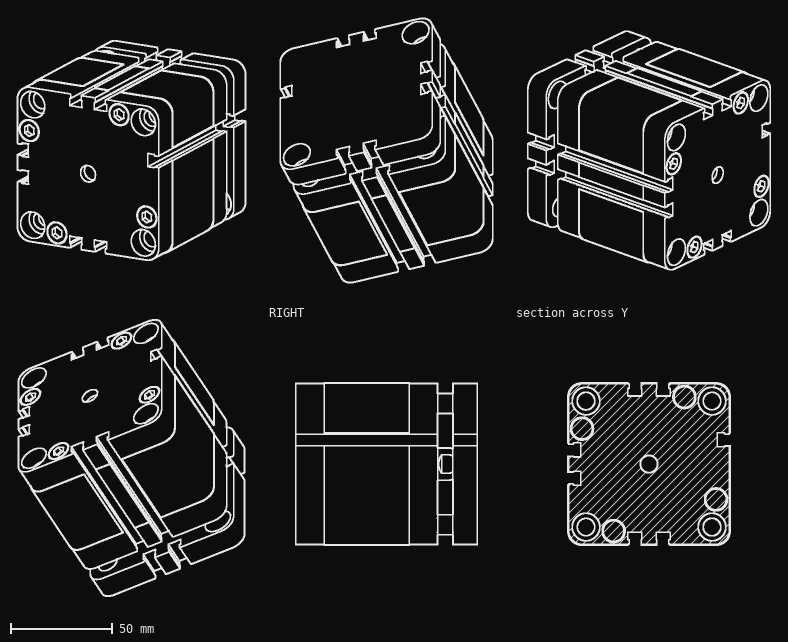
import cadquery as cq
import math

overall_length = 89.5
body_side = 80.0
cap_side = 79.5
corner_radius = 7.0

cap_length = 14.0
barrel_length = 42.0
gap_length = 7.5
front_y = -overall_length / 2
barrel_y = front_y + cap_length
rear_cap_y = barrel_y + barrel_length
gap_y = rear_cap_y + cap_length
plate_y = gap_y + gap_length
plate_length = overall_length / 2 - plate_y

slot_offset = 6.8
single_slot_offset = 11.8
neck_half_width = 2.9
outer_step = 0.7
inner_step = 0.4
slot_depth = 6.35
neck_depth = 2.5
shoulder_drop = 0.45
lip_radius = 0.8

mount_offset = 31.1
mount_bore_diameter = 13.5
mount_bore_depth = 8.7
mount_hole_diameter = 8.6
plate_hole_diameter = 14.0

screw_near = 17.45
screw_far = 33.0
screw_recess_diameter = 11.1
screw_head_diameter = 10.5
head_gap_depth = 6.0
socket_corner_diameter = 6.0
socket_depth = 3.0
socket_turn = 30.0

rod_diameter = 16.0
rod_flat_width = 13.2
rod_flat_length = 5.5
rod_chamfer_length = 1.5
rod_chamfer_depth = 0.4
guide_offset = 29.9
guide_diameter = 10.0
centre_hole_diameter = 8.4
centre_hole_depth = 4.0


def plane_at(y):
    """Plane across the cylinder axis: local x is +X, local y is +Z, and its normal is -Y."""
    return cq.Workplane(cq.Plane(origin=(0, y, 0), xDir=(1, 0, 0), normal=(0, -1, 0)))


def square_block(side, y, length):
    block = plane_at(y).rect(side, side).extrude(-length)
    return block.edges("|Y").fillet(corner_radius)


def round_bar(x, z, diameter, y, length):
    return plane_at(y).center(x, z).circle(diameter / 2).extrude(-length)


def sensor_slot(centre, angle, mirrored=False):
    """Full-length groove in the +Z side, its rounded lip towards +X; mirrored, then turned about Y."""
    top = body_side / 2
    floor = top - slot_depth
    shoulder = top - neck_depth
    wall_out = neck_half_width + outer_step
    wall_in = -neck_half_width - inner_step
    lip_top = cap_side / 2
    mouth = neck_half_width + lip_radius
    lip_middle = lip_radius * (1 - math.sqrt(0.5))
    lip_middle_point = (centre + neck_half_width + lip_middle, lip_top - lip_middle)
    slot = (
        plane_at(front_y)
        .moveTo(centre - neck_half_width, top)
        .lineTo(centre - neck_half_width, shoulder)
        .lineTo(centre + wall_in, shoulder - shoulder_drop)
        .lineTo(centre + wall_in, floor)
        .lineTo(centre + wall_out, floor)
        .lineTo(centre + wall_out, shoulder - shoulder_drop)
        .lineTo(centre + neck_half_width, shoulder)
        .lineTo(centre + neck_half_width, lip_top - lip_radius)
        .threePointArc(lip_middle_point, (centre + mouth, lip_top))
        .lineTo(centre + mouth, top)
        .close()
        .extrude(-overall_length)
    )
    if mirrored:
        slot = slot.mirror("YZ")
    return slot.rotate((0, 0, 0), (0, 1, 0), angle)


def piston_rod():
    rod = round_bar(0, 0, rod_diameter, gap_y, gap_length)
    rod = rod.faces(">Y").edges().chamfer(rod_chamfer_length, rod_chamfer_depth)
    flat_x = rod_flat_width / 2
    run_out = rod_diameter / 2 - flat_x
    flat_start = plate_y - rod_flat_length
    for side in (-1, 1):
        outline = [
            (side * flat_x, plate_y),
            (side * flat_x, flat_start),
            (side * (flat_x + run_out), flat_start - run_out),
            (side * (flat_x + run_out), plate_y),
        ]
        flat = cq.Workplane("XY").polyline(outline).close().extrude(rod_diameter / 2, both=True)
        rod = rod.cut(flat)
    return rod


def cap_screw_recess(x, z):
    """Thin gap around a flush screw head, plus its hexagon socket."""
    recess = round_bar(x, z, screw_recess_diameter, front_y, head_gap_depth)
    head = round_bar(x, z, screw_head_diameter, front_y, head_gap_depth)
    socket = plane_at(front_y).polygon(6, socket_corner_diameter).extrude(-socket_depth)
    socket = socket.rotate((0, 0, 0), (0, 1, 0), socket_turn).translate((x, 0, z))
    return recess.cut(head).union(socket)


result = square_block(cap_side, front_y, cap_length)
result = result.union(square_block(body_side, barrel_y, barrel_length))
result = result.union(square_block(cap_side, rear_cap_y, cap_length))
result = result.union(square_block(cap_side, plate_y, plate_length))

for angle in (0, -90, 180):
    for mirrored in (False, True):
        result = result.cut(sensor_slot(slot_offset, angle, mirrored))
result = result.cut(sensor_slot(single_slot_offset, 90, mirrored=True))

result = result.union(piston_rod())
for sign in (-1, 1):
    result = result.union(
        round_bar(sign * guide_offset, sign * guide_offset, guide_diameter, gap_y, gap_length)
    )

for x_sign in (-1, 1):
    for z_sign in (-1, 1):
        x = x_sign * mount_offset
        z = z_sign * mount_offset
        result = result.cut(round_bar(x, z, mount_bore_diameter, front_y, mount_bore_depth))
        has_guide_rod = x_sign == z_sign
        hole_length = cap_length if has_guide_rod else gap_y - front_y
        result = result.cut(round_bar(x, z, mount_hole_diameter, front_y, hole_length))
        if not has_guide_rod:
            result = result.cut(round_bar(x, z, plate_hole_diameter, plate_y, plate_length))

for x, z in (
    (screw_near, screw_far),
    (screw_far, -screw_near),
    (-screw_near, -screw_far),
    (-screw_far, screw_near),
):
    result = result.cut(cap_screw_recess(x, z))

result = result.cut(round_bar(0, 0, centre_hole_diameter, front_y, centre_hole_depth))